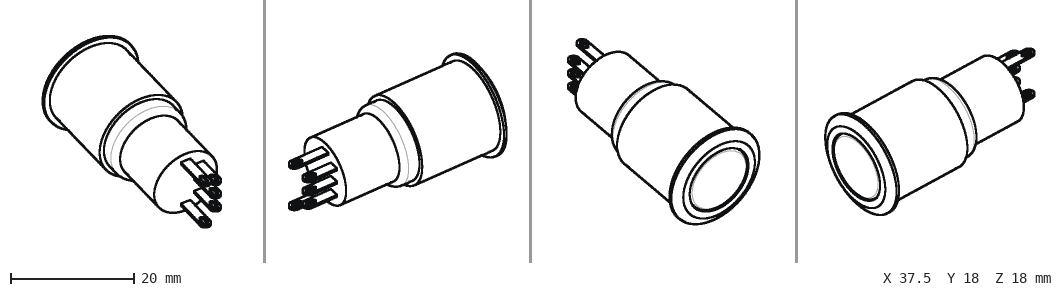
import cadquery as cq

FLANGE_DIA = 18.0
FRONT_FACE_DIA = 14.62
BEVEL_DEPTH = 0.98
FLANGE_BACK_X = 1.5
BARREL_DIA = 15.9
BARREL_BACK_X = 16.88
COLLAR_DIA = 14.3
COLLAR_BACK_X = 20.02
COLLAR_ROUND = 1.0
BORE_DIA = 12.0

BUTTON_DIA = 11.8
BUTTON_ROUND = 0.4
BUTTON_BACK_X = FLANGE_BACK_X

BASE_FRONT_X = BUTTON_BACK_X
BASE_BACK_X = 30.52

TAG_WIDTH = 1.8
TAG_THICKNESS = 0.38
SLOT_WIDTH = 0.8
SLOT_LENGTH = 1.88
LONG_TIP_X = 37.5
SHORT_TIP_X = 36.52
LONG_TAG_Y = 0.0
SHORT_TAG_Y = 2.5
LONG_TAG_Z = 4.4
SHORT_TAG_Z = 2.8


def cylinder(diameter, start_x, end_x):
    """Round bar on the X axis."""
    return cq.Workplane("YZ", origin=(start_x, 0, 0)).circle(diameter / 2).extrude(end_x - start_x)


def make_housing():
    half_profile = (
        cq.Workplane("XY")
        .moveTo(0, BORE_DIA / 2)
        .lineTo(0, FRONT_FACE_DIA / 2)
        .lineTo(BEVEL_DEPTH, FLANGE_DIA / 2)
        .lineTo(FLANGE_BACK_X, FLANGE_DIA / 2)
        .lineTo(FLANGE_BACK_X, BARREL_DIA / 2)
        .lineTo(BARREL_BACK_X, BARREL_DIA / 2)
        .lineTo(BARREL_BACK_X, COLLAR_DIA / 2)
        .lineTo(COLLAR_BACK_X - COLLAR_ROUND, COLLAR_DIA / 2)
        .radiusArc((COLLAR_BACK_X, COLLAR_DIA / 2 - COLLAR_ROUND), COLLAR_ROUND)
        .lineTo(COLLAR_BACK_X, BORE_DIA / 2)
        .close()
    )
    return half_profile.revolve(360, (0, 0, 0), (1, 0, 0))


def make_button():
    return cylinder(BUTTON_DIA, 0, BUTTON_BACK_X).faces("<X").edges().fillet(BUTTON_ROUND)


def make_tag(tip_x, y, z):
    """One terminal tag, from the back of the base to its round tip."""
    tip_centre_x = tip_x - TAG_WIDTH / 2
    slot_centre_x = tip_centre_x + SLOT_WIDTH / 2 - SLOT_LENGTH / 2
    plane = cq.Workplane("XY", origin=(0, y, z - TAG_THICKNESS / 2))
    tag = (
        plane.moveTo(BASE_BACK_X, -TAG_WIDTH / 2)
        .lineTo(tip_centre_x, -TAG_WIDTH / 2)
        .threePointArc((tip_x, 0), (tip_centre_x, TAG_WIDTH / 2))
        .lineTo(BASE_BACK_X, TAG_WIDTH / 2)
        .close()
        .extrude(TAG_THICKNESS)
    )
    slot = plane.center(slot_centre_x, 0).slot2D(SLOT_LENGTH, SLOT_WIDTH).extrude(TAG_THICKNESS)
    return tag.cut(slot)


def make_base():
    base = cylinder(BORE_DIA, BASE_FRONT_X, BASE_BACK_X)
    for z in (-LONG_TAG_Z, LONG_TAG_Z):
        base = base.union(make_tag(LONG_TIP_X, LONG_TAG_Y, z))
    for z in (-SHORT_TAG_Z, 0, SHORT_TAG_Z):
        base = base.union(make_tag(SHORT_TIP_X, SHORT_TAG_Y, z))
    return base


housing = make_housing()
button = make_button()
base = make_base()

result = cq.Compound.makeCompound([housing.val(), button.val(), *base.vals()])